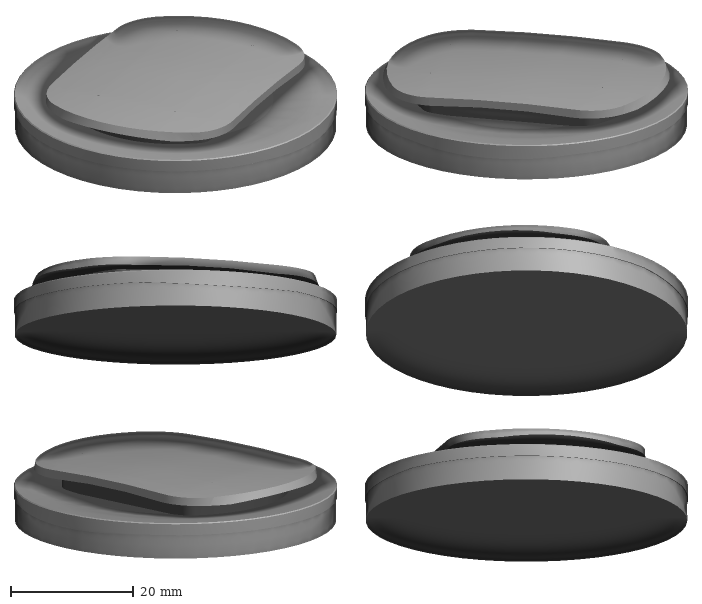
import cadquery as cq
import math

base_radius = 26.35
seam_height = 4.0
scallop_depth = 0.5
scallop_half_width = 13.25

cover_radius = 26.5
rim_height = 6.0
rim_chamfer = 0.15
dish_outer_radius = 22.4
dish_floor_radius = 16.05
dish_slope = 0.12

neck_radius = 18.6
neck_half_width = 12.4
neck_corner_radius = 2.35

crown_top = 10.65
crown_bottom = 8.0
crown_half_width = 16.55
crown_side_drop = 0.9
crown_end_reach = 22.8
crown_end_drop = 1.05

crown_lower_reach = 23.7
crown_lower_end_radius = 22.0
crown_upper_reach = 22.25
crown_upper_end_radius = 28.6
crown_corner_radius = 8.5

relief_rise = 0.5
relief_length = 5.55
end_relief_half_width = 13.25
side_relief_half_width = 12.2
relief_skirt = 0.55

slit_length = 0.4
slit_width = 0.1
slit_bottom = 9.95
slit_x = 6.95
slit_y = 14.45


def arc_radius(half_chord, rise):
    """Radius of the arc that rises by `rise` over a chord of twice `half_chord`."""
    return (half_chord**2 + rise**2) / (2 * rise)


def make_scallop():
    """Shallow arched bar along X that hangs below the joint plane."""
    return (
        cq.Workplane("YZ")
        .moveTo(-scallop_half_width, seam_height)
        .threePointArc((0, seam_height - scallop_depth), (scallop_half_width, seam_height))
        .close()
        .extrude(cover_radius, both=True)
    )


def make_base():
    disc = cq.Workplane("XY").circle(base_radius).extrude(seam_height)
    return disc.cut(make_scallop())


def make_cover_disc():
    """Round disc whose top falls from a rounded rim along a cone to a flat floor."""
    rim_radius = cover_radius - rim_chamfer
    rim_width = rim_radius - dish_outer_radius
    slope_angle = math.atan(dish_slope)
    rim_arc_radius = rim_width / math.sin(slope_angle)
    cone_top = rim_height - rim_arc_radius * (1 - math.cos(slope_angle))
    floor_height = cone_top - dish_slope * (dish_outer_radius - dish_floor_radius)
    half_angle = slope_angle / 2
    rim_arc_middle = (
        rim_radius - rim_arc_radius * math.sin(half_angle),
        rim_height - rim_arc_radius * (1 - math.cos(half_angle)),
    )
    disc = (
        cq.Workplane("XZ")
        .moveTo(0, seam_height)
        .lineTo(cover_radius, seam_height)
        .lineTo(cover_radius, rim_height - rim_chamfer)
        .lineTo(rim_radius, rim_height)
        .threePointArc(rim_arc_middle, (dish_outer_radius, cone_top))
        .lineTo(dish_floor_radius, floor_height)
        .lineTo(0, floor_height)
        .close()
        .revolve(360, (0, 0), (0, 1))
    )
    round_limit = cq.Workplane("XY").circle(cover_radius).extrude(rim_height)
    return disc.union(make_scallop().intersect(round_limit))


def make_neck():
    """Round post with two flat sides and rounded corners."""
    height = crown_bottom + relief_rise - seam_height
    post = cq.Workplane("XY").workplane(offset=seam_height).circle(neck_radius).extrude(height)
    flats = (
        cq.Workplane("XY")
        .workplane(offset=seam_height)
        .rect(2 * neck_half_width, 2 * neck_radius)
        .extrude(height)
    )
    return post.intersect(flats).edges("|Z").edges("<X or >X").fillet(neck_corner_radius)


def crown_outline(level, reach, end_radius):
    """Wire with straight sides, arched ends and rounded corners."""
    corner = crown_corner_radius
    arc_center_y = reach - end_radius
    corner_x = crown_half_width - corner
    corner_y = arc_center_y + math.sqrt((end_radius - corner) ** 2 - corner_x**2)
    end_angle = math.atan2(corner_y - arc_center_y, corner_x)
    tangent_x = corner_x + corner * math.cos(end_angle)
    tangent_y = corner_y + corner * math.sin(end_angle)
    middle_x = corner_x + corner * math.cos(end_angle / 2)
    middle_y = corner_y + corner * math.sin(end_angle / 2)
    return (
        cq.Workplane("XY")
        .workplane(offset=level)
        .moveTo(crown_half_width, -corner_y)
        .lineTo(crown_half_width, corner_y)
        .threePointArc((middle_x, middle_y), (tangent_x, tangent_y))
        .threePointArc((0, reach), (-tangent_x, tangent_y))
        .threePointArc((-middle_x, middle_y), (-crown_half_width, corner_y))
        .lineTo(-crown_half_width, -corner_y)
        .threePointArc((-middle_x, -middle_y), (-tangent_x, -tangent_y))
        .threePointArc((0, -reach), (tangent_x, -tangent_y))
        .threePointArc((middle_x, -middle_y), (crown_half_width, -corner_y))
        .close()
        .val()
    )


def make_dome():
    """Solid with an arch along X as its top, revolved to arch along Y as well."""
    radius_x = arc_radius(crown_half_width, crown_side_drop)
    radius_y = arc_radius(crown_end_reach, crown_end_drop)
    axis_height = crown_top - radius_y
    side_height = crown_top - crown_side_drop
    depth = crown_top - crown_bottom
    sweep_angle = 2 * math.degrees(math.asin(cover_radius / radius_y))
    dome = (
        cq.Workplane("XZ")
        .moveTo(-crown_half_width, side_height)
        .threePointArc((0, crown_top), (crown_half_width, side_height))
        .lineTo(crown_half_width, crown_bottom - depth)
        .lineTo(-crown_half_width, crown_bottom - depth)
        .close()
        .revolve(sweep_angle, (0, axis_height), (1, axis_height))
    )
    return dome.rotate((0, 0, axis_height), (1, 0, axis_height), -sweep_angle / 2)


def make_relief(reach, half_width, tilt):
    """Arched cutter under the -Y edge at `reach`, sinking inward by the angle `tilt`."""
    cutter = (
        cq.Workplane("XZ", origin=(0, -reach, crown_bottom))
        .moveTo(-half_width, -relief_skirt)
        .lineTo(-half_width, 0)
        .threePointArc((0, relief_rise), (half_width, 0))
        .lineTo(half_width, -relief_skirt)
        .close()
        .extrude(-relief_length)
    )
    return cutter.rotate((0, -reach, crown_bottom), (1, -reach, crown_bottom), -tilt)


def make_crown():
    outlines = [
        crown_outline(crown_bottom, crown_lower_reach, crown_lower_end_radius),
        crown_outline(crown_top, crown_upper_reach, crown_upper_end_radius),
    ]
    crown = cq.Workplane(cq.Solid.makeLoft(outlines, True)).intersect(make_dome())
    end_tilt = math.degrees(math.atan(relief_rise / relief_length))
    end_relief = make_relief(crown_lower_reach, end_relief_half_width, end_tilt)
    side_relief = make_relief(crown_half_width, side_relief_half_width, 0)
    for turn in (0, 180):
        crown = crown.cut(end_relief.rotate((0, 0, 0), (0, 0, 1), turn))
        crown = crown.cut(side_relief.rotate((0, 0, 0), (0, 0, 1), turn + 90))
    slits = (
        cq.Workplane("XY")
        .workplane(offset=slit_bottom)
        .rect(2 * slit_x, 2 * slit_y, forConstruction=True)
        .vertices()
        .rect(slit_length, slit_width)
        .extrude(crown_top - slit_bottom)
    )
    return crown.cut(slits)


base = make_base()
cover = make_cover_disc().union(make_neck()).union(make_crown())
result = cq.Compound.makeCompound([base.val(), cover.val()])